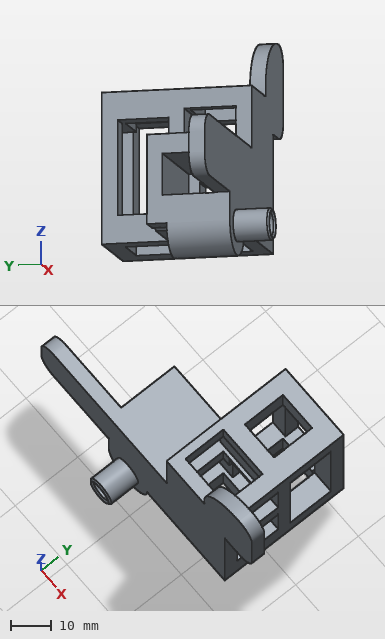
import cadquery as cq


overall_length = 81.4
plate_thickness = 4.0
plate_span = (0, plate_thickness)
corner_radius = 5.0

block_left = 26.05
tower_left = 48.4
tower_right = 70.9
block_depth = 21.0
tower_depth = 38.0
block_height = 22.5
tower_height = 38.1

arm_height = 15.3

paddle_bottom = 30.0
paddle_top = 53.7
paddle_arc_radius = 13.5
paddle_crown = overall_length - corner_radius
paddle_left = paddle_crown - paddle_arc_radius

lug_radius = 7.4
lug_depth = 16.0
pin_x = block_left + lug_radius
pin_radius = 4.0
pin_length = 9.0
pin_chamfer = 0.5
mouth_radius = 3.3
wide_bore_radius = 2.85
narrow_mouth_radius = 2.45
narrow_bore_radius = 2.1
groove_radius = 4.0
groove_height = 0.5
groove_rounding = 1.0

wall = 5.0
sill = 7.1
front_window_back = 17.1
rear_window_back = 33.9
rear_window_top = 31.0
web_window_top = 21.4
front_well_left = 50.95
front_well_right = 66.1
front_well_back = 16.0
rear_well_left = 53.3
rear_well_right = 64.5
rear_well_back = 33.1


def box(x_range, y_range, z_range):
    """Axis-aligned box spanning the three (low, high) ranges."""
    spans = (x_range, y_range, z_range)
    size = [high - low for low, high in spans]
    corner = tuple(low for low, high in spans)
    return cq.Workplane("XY").box(*size, centered=False).translate(corner)


def cylinder(radius, y_start, y_end):
    """Cylinder along Y on the pin axis."""
    plane = cq.Workplane("XZ", origin=(pin_x, y_start, 0))
    return plane.circle(radius).extrude(y_start - y_end)


block = box((block_left, tower_right), (0, block_depth), (0, block_height))
tower = box((tower_left, tower_right), (0, tower_depth), (0, tower_height))
frame = block.union(tower)

arm = box((0, tower_left), plate_span, (block_height - arm_height, block_height))
arm = arm.edges("|Y and <X").fillet(corner_radius)

paddle = (
    cq.Workplane("XZ")
    .moveTo(paddle_left, paddle_bottom)
    .lineTo(paddle_crown, paddle_bottom)
    .radiusArc((overall_length, paddle_bottom + corner_radius), -corner_radius)
    .lineTo(overall_length, paddle_top - corner_radius)
    .radiusArc((paddle_crown, paddle_top), -corner_radius)
    .radiusArc((paddle_left, paddle_top - paddle_arc_radius), -paddle_arc_radius)
    .close()
    .extrude(-plate_thickness)
)

full_width = (block_left, tower_right)
front_bay = (plate_thickness, front_window_back)
low_window = box(full_width, front_bay, (sill, block_height - wall))
high_window = box(full_width, front_bay, (block_height, tower_height - wall))

rear_bay = (block_depth, rear_window_back)
left_window = box((tower_left, rear_well_right), rear_bay, (sill, rear_window_top))
right_window = box((rear_well_right, tower_right), rear_bay, (wall, tower_height - wall))

rear_well_width = (rear_well_left, rear_well_right)
web_window = box(rear_well_width, (front_well_back, block_depth), (sill, web_window_top))
back_window = box(rear_well_width, (rear_well_back, tower_depth), (sill, rear_window_top))

full_height = (0, tower_height)
front_well_width = (front_well_left, front_well_right)
front_well = box(front_well_width, (plate_thickness, front_well_back), full_height)
rear_well = box(rear_well_width, (block_depth, rear_well_back), full_height)

windows = (low_window, high_window, left_window, right_window, web_window, back_window)
for opening in windows + (front_well, rear_well):
    frame = frame.cut(opening)

lug = cylinder(lug_radius, 0, lug_depth).intersect(
    box((block_left, pin_x + lug_radius), (0, lug_depth), (-lug_radius, 0))
)
pin = cylinder(pin_radius, -pin_length, 0).faces("<Y").chamfer(pin_chamfer)

mouth_sink = mouth_radius - wide_bore_radius
narrow_sink = narrow_mouth_radius - narrow_bore_radius
bore = (
    cq.Workplane("XY", origin=(pin_x, 0, 0))
    .moveTo(0, -pin_length)
    .lineTo(mouth_radius, -pin_length)
    .lineTo(wide_bore_radius, -pin_length + mouth_sink)
    .lineTo(wide_bore_radius, 0)
    .lineTo(narrow_mouth_radius, 0)
    .lineTo(narrow_bore_radius, narrow_sink)
    .lineTo(narrow_bore_radius, lug_depth)
    .lineTo(0, lug_depth)
    .close()
    .revolve(360, (0, 0, 0), (0, 1, 0))
)

groove_axis_z = groove_height - groove_radius
groove = (
    cq.Workplane("XY", origin=(pin_x, 0, groove_axis_z))
    .moveTo(0, lug_depth)
    .lineTo(groove_radius + groove_rounding, lug_depth)
    .radiusArc((groove_radius, lug_depth + groove_rounding), groove_rounding)
    .lineTo(groove_radius, block_depth)
    .lineTo(0, block_depth)
    .close()
    .revolve(360, (0, 0, 0), (0, 1, 0))
)

result = frame.union(arm).union(paddle).union(lug).union(pin).cut(bore).cut(groove)